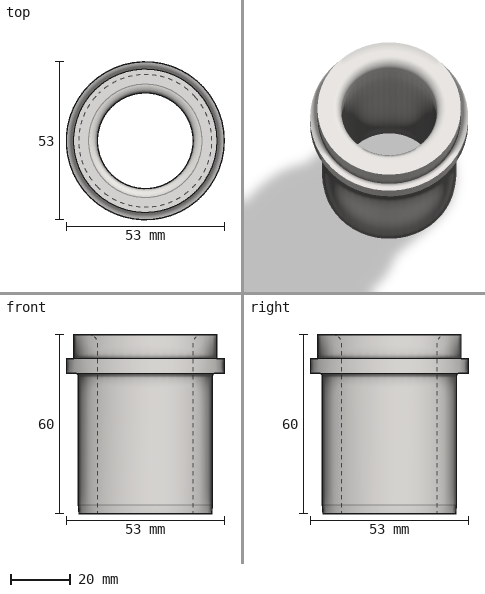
import cadquery as cq

total_height = 60.0
head_height = 8.0
flange_height = 5.0
lead_in_height = 3.0

flange_radius = 53.0 / 2
head_radius = 48.0 / 2
body_radius = 45.0 / 2
bore_radius = 32.0 / 2

lead_in_depth = 0.25
mouth_round = 3.0
neck_fillet = 0.9

flange_top = total_height - head_height
flange_bottom = flange_top - flange_height

outer_body = (
    cq.Workplane("XZ")
    .moveTo(0, 0)
    .lineTo(body_radius - lead_in_depth, 0)
    .lineTo(body_radius, lead_in_height)
    .lineTo(body_radius, flange_bottom - neck_fillet)
    .radiusArc((body_radius + neck_fillet, flange_bottom), neck_fillet)
    .lineTo(flange_radius, flange_bottom)
    .lineTo(flange_radius, flange_top)
    .lineTo(head_radius, flange_top)
    .lineTo(head_radius, total_height)
    .lineTo(0, total_height)
    .close()
    .revolve(360, (0, 0, 0), (0, 1, 0))
)

bored_body = outer_body.cut(cq.Workplane("XY").circle(bore_radius).extrude(total_height))
bore_mouth = cq.selectors.RadiusNthSelector(0)
result = bored_body.faces(">Z").edges(bore_mouth).fillet(mouth_round)